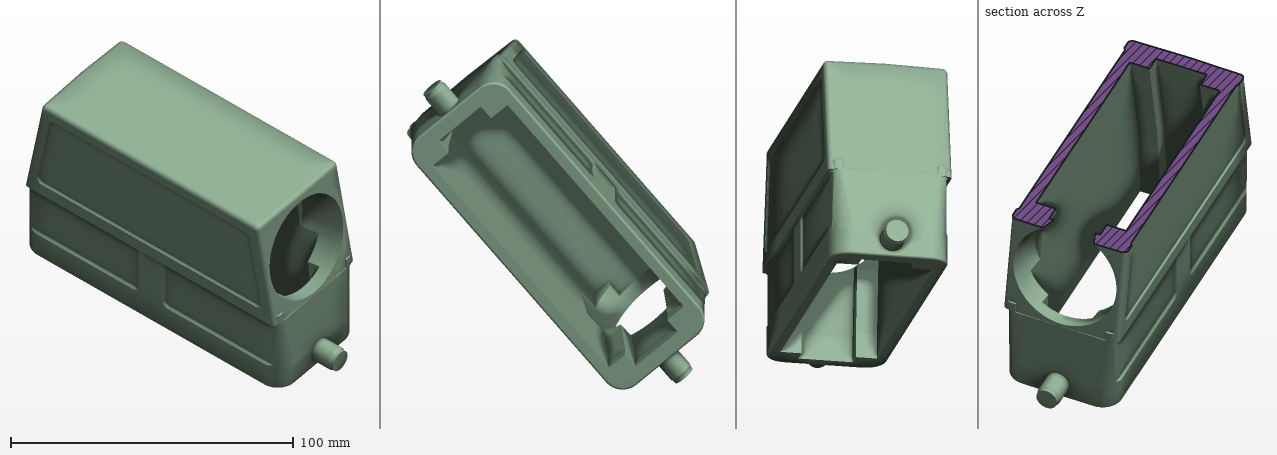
import cadquery as cq
import math

total_length = 138.5
hood_width = 45.0
total_height = 76.0
base_length = 119.4
base_width = 43.2
skirt_height = 9.3
skirt_corner_radius = 7.6
skirt_edge_radius = 0.8
step_height = 32.1
step_half_length = 57.8
roof_half_length = 49.9
step_corner_radius = 4.0
seam_gap = 0.1
mold_draft = 1.0
hood_trim = 1.4
hood_edge_radius = 1.8

panel_depth = 0.7
panel_ledge = 0.62
panel_bottom = 37.3
panel_top = 70.9
panel_end_margin = 4.8
panel_corner_radius = 2.5
grip_depth = 0.8
grip_bottom = 10.5
grip_half_gap = 5.5
grip_corner_radius = 2.4
grip_bottom_radius = 4.0
grip_top_radius = 2.6
corner_inner = 17.6
grip_floor_end = 55.1
grip_corner_start = 52.6
ledge_draft = 45.0

lug_top = 35.7
lug_corner_radius = 2.5

entry_diameter = 40.0
entry_height = 52.9
entry_depth = 19.4
entry_clearance = 2.8
end_wall = 5.5
side_wall = 4.2
roof_wall = 4.2
corner_post_length = 5.5
channel_width = 19.7
pin_diameter = 8.9
pin_tip_diameter = 8.0
pin_tip_length = 1.1
pin_chamfer_length = 0.8
pin_height = 6.4

end_run = step_half_length - roof_half_length
end_rise = total_height - step_height
end_angle = math.degrees(math.atan2(end_run, end_rise))
skirt_half_length = base_length / 2
lower_slope = (skirt_half_length - step_half_length) / (step_height - skirt_height)


def hood_end_x(z):
    """Half length of the hood at height z, on the parting plane."""
    return step_half_length - (z - step_height) * end_run / end_rise


def lower_end_x(z):
    """Half length of the tapering lower body at height z."""
    return step_half_length + (step_height - z) * lower_slope


def trapezoid(plane, bottom, top, inset=0.0):
    """Symmetric outline following the sloped hood ends, inset along X."""
    bottom_x = hood_end_x(bottom) - inset
    top_x = hood_end_x(top) - inset
    return plane.polyline(
        [(-bottom_x, bottom), (bottom_x, bottom), (top_x, top), (-top_x, top)]
    ).close()


def both_sides(solid):
    """The solid joined with its mirror image across Y = 0."""
    return solid.union(solid.mirror("XZ"))


def both_ends(solid):
    """The solid joined with its mirror image across X = 0."""
    return solid.union(solid.mirror("YZ"))


def make_hood():
    half = trapezoid(cq.Workplane("XZ"), step_height - hood_trim, total_height).extrude(
        hood_width / 2, taper=mold_draft
    )
    trim = cq.Workplane("XY").workplane(offset=step_height)
    half = half.intersect(trim.rect(total_length, 2 * hood_width).extrude(total_height))
    rounded = cq.selectors.BoxSelector(
        (-total_length, -hood_width, step_height + seam_gap),
        (total_length, -seam_gap, 2 * total_height),
    )
    return both_sides(half.edges(rounded).fillet(hood_edge_radius))


def rounded_outline(half_length, width, radius, z=0.0):
    outline = cq.Sketch().rect(2 * half_length, width).vertices().fillet(radius)
    return outline.moved(cq.Location(cq.Vector(0, 0, z)))


def make_tapered_block(width, bottom_half_length, bottom_radius, top_half_length, top_radius):
    """Body between skirt and step, with sloped ends and a changing corner radius."""
    bottom = rounded_outline(bottom_half_length, width, bottom_radius, skirt_height)
    top = rounded_outline(top_half_length, width, top_radius, step_height)
    return cq.Workplane("XY").placeSketch(bottom, top).loft()


def make_lower_body():
    outline = rounded_outline(skirt_half_length, base_width, skirt_corner_radius)
    skirt = cq.Workplane("XY").placeSketch(outline).extrude(skirt_height)
    skirt = skirt.faces("<Z").edges().fillet(skirt_edge_radius)
    taper = make_tapered_block(
        base_width, skirt_half_length, skirt_corner_radius, step_half_length, step_corner_radius
    )
    return skirt.union(taper)


def make_grip_core():
    """Narrower body whose corners are left standing where the grip recesses wrap round."""
    return make_tapered_block(
        base_width - 2 * grip_depth,
        grip_floor_end + grip_bottom_radius,
        grip_bottom_radius,
        grip_floor_end + grip_top_radius,
        grip_top_radius,
    )


def make_grip_recesses():
    length = total_length / 2 - grip_half_gap
    height = step_height - grip_bottom
    face_recess = (
        cq.Workplane("XZ", origin=(0, -base_width / 2, 0))
        .center(grip_half_gap + length / 2, grip_bottom + height / 2)
        .sketch()
        .rect(length, height)
        .vertices("<X")
        .fillet(grip_corner_radius)
        .finalize()
        .extrude(-grip_depth, taper=ledge_draft)
    )
    corner_recess = cq.Workplane("XY").box(
        total_length / 2 - grip_corner_start,
        base_width / 2 - corner_inner,
        height - 2 * grip_depth,
        centered=False,
    )
    corner_recess = corner_recess.translate(
        (grip_corner_start, -base_width / 2, grip_bottom + grip_depth)
    )
    corner_recess = corner_recess.cut(make_grip_core())
    return both_ends(both_sides(face_recess.union(corner_recess)))


def make_panel_recesses():
    plane = cq.Workplane("XZ", origin=(0, -hood_width / 2, 0))
    panel = trapezoid(plane, panel_bottom, panel_top, panel_end_margin).extrude(-panel_depth)
    panel = panel.edges("|Y").fillet(panel_corner_radius)
    panel = panel.faces(">Y").edges().chamfer(panel_ledge)
    return both_sides(panel)


def make_corner_lugs():
    outline = [
        (roof_half_length, step_height),
        (lower_end_x(step_height), step_height),
        (lower_end_x(lug_top), lug_top),
        (roof_half_length, lug_top),
    ]
    lug = cq.Workplane("XZ", origin=(0, -corner_inner, 0)).polyline(outline).close()
    lug = lug.extrude(base_width / 2 - corner_inner)
    lug = lug.faces("<Y").edges(">X").fillet(lug_corner_radius)
    return both_ends(both_sides(lug))


def make_cavity_part(wall, width):
    """Space open at the bottom whose ends run parallel to the outer end walls."""
    inset = wall / math.cos(math.radians(end_angle))
    roof = total_height - roof_wall
    right = [
        (skirt_half_length - inset, 0),
        (skirt_half_length - inset, skirt_height),
        (step_half_length - inset, step_height),
        (hood_end_x(roof) - inset, roof),
    ]
    left = [(-x, z) for x, z in reversed(right)]
    return cq.Workplane("XZ").polyline(right + left).close().extrude(width / 2, both=True)


def make_cable_entry():
    """Bore square to the sloped +X end, from just outside it into the cavity."""
    slope = math.radians(end_angle)
    inward = cq.Vector(-math.cos(slope), 0, -math.sin(slope))
    start = cq.Vector(hood_end_x(entry_height), 0, entry_height) - inward * entry_clearance
    return cq.Workplane(cq.Plane(start, (0, 1, 0), inward)).circle(entry_diameter / 2).extrude(
        entry_depth + entry_clearance
    )


def make_pins():
    tip_x = total_length / 2
    neck_x = tip_x - pin_tip_length
    root_x = skirt_half_length - end_wall / 2
    profile = [
        (root_x, 0),
        (root_x, pin_diameter / 2),
        (neck_x - pin_chamfer_length, pin_diameter / 2),
        (neck_x, pin_tip_diameter / 2),
        (tip_x, pin_tip_diameter / 2),
        (tip_x, 0),
    ]
    pin = cq.Workplane("XY").polyline(profile).close().revolve(360, (0, 0, 0), (1, 0, 0))
    return both_ends(pin.translate((0, 0, pin_height)))


lower_body = make_lower_body().cut(make_grip_recesses())
hood = make_hood().cut(make_panel_recesses())
cavity = make_cavity_part(end_wall + corner_post_length, base_width - 2 * side_wall)
cavity = cavity.union(make_cavity_part(end_wall, channel_width))

shell = hood.union(lower_body).union(make_corner_lugs()).cut(cavity).cut(make_cable_entry())
result = shell.union(make_pins())